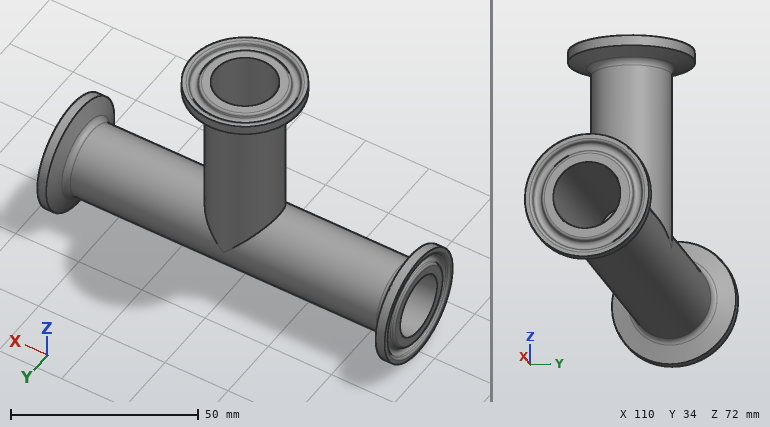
import cadquery as cq
import math


arm_length = 55.0
tube_radius = 21.7 / 2
bore_radius = 18.4 / 2

flange_radius = 34.0 / 2
rim_thickness = 2.85
cone_angle = math.radians(20)
neck_fillet = 2.0

groove_centre_radius = 27.5 / 2
groove_half_width = 2.05
groove_lip_radius = 0.8
groove_floor_radius = 1.2
groove_wall_angle = math.radians(70)


def arm_body():
    """Solid arm along +Z: tube, filleted neck, conical flange back and rim."""
    rim_back = arm_length - rim_thickness
    corner_height = rim_back - (flange_radius - tube_radius) * math.tan(cone_angle)
    turn_angle = math.pi / 2 - cone_angle
    tangent_length = neck_fillet * math.tan(turn_angle / 2)

    tube_tangent_height = corner_height - tangent_length
    cone_tangent = (
        tube_radius + tangent_length * math.cos(cone_angle),
        corner_height + tangent_length * math.sin(cone_angle),
    )
    fillet_middle = (
        tube_radius + neck_fillet * (1 - math.cos(turn_angle / 2)),
        tube_tangent_height + neck_fillet * math.sin(turn_angle / 2),
    )
    return (
        cq.Workplane("XZ")
        .lineTo(tube_radius, 0)
        .lineTo(tube_radius, tube_tangent_height)
        .threePointArc(fillet_middle, cone_tangent)
        .lineTo(flange_radius, rim_back)
        .lineTo(flange_radius, arm_length)
        .lineTo(0, arm_length)
        .close()
        .revolve(360, (0, 0, 0), (0, 1, 0))
    )


def gasket_groove():
    """Ring cut from the sealing face: rounded lips, steep walls and a round floor."""
    half_angle = groove_wall_angle / 2
    lip_middle_offset = groove_half_width - groove_lip_radius * math.sin(half_angle)
    lip_middle_depth = groove_lip_radius * (1 - math.cos(half_angle))
    wall_top_offset = groove_half_width - groove_lip_radius * math.sin(groove_wall_angle)
    wall_top_depth = groove_lip_radius * (1 - math.cos(groove_wall_angle))

    wall_foot_offset = groove_floor_radius * math.sin(groove_wall_angle)
    wall_drop = (wall_top_offset - wall_foot_offset) * math.tan(groove_wall_angle)
    wall_foot_depth = wall_top_depth + wall_drop
    groove_depth = wall_foot_depth + groove_floor_radius * (1 - math.cos(groove_wall_angle))

    def groove_point(offset, depth):
        return (groove_centre_radius + offset, arm_length - depth)

    return (
        cq.Workplane("XZ")
        .moveTo(*groove_point(-groove_half_width, 0))
        .threePointArc(
            groove_point(-lip_middle_offset, lip_middle_depth),
            groove_point(-wall_top_offset, wall_top_depth),
        )
        .lineTo(*groove_point(-wall_foot_offset, wall_foot_depth))
        .threePointArc(
            groove_point(0, groove_depth),
            groove_point(wall_foot_offset, wall_foot_depth),
        )
        .lineTo(*groove_point(wall_top_offset, wall_top_depth))
        .threePointArc(
            groove_point(lip_middle_offset, lip_middle_depth),
            groove_point(groove_half_width, 0),
        )
        .close()
        .revolve(360, (0, 0, 0), (0, 1, 0))
    )


def bore():
    """Bore of one arm, from the tee centre through the sealing face."""
    return cq.Workplane("XY").circle(bore_radius).extrude(arm_length)


def on_all_arms(shape):
    """Union of a +Z arm shape with its copies along +X and -X."""
    combined = shape
    for tilt in (90, -90):
        combined = combined.union(shape.rotate((0, 0, 0), (0, 1, 0), tilt))
    return combined


solid_tee = on_all_arms(arm_body().cut(gasket_groove()))
result = solid_tee.cut(on_all_arms(bore()))